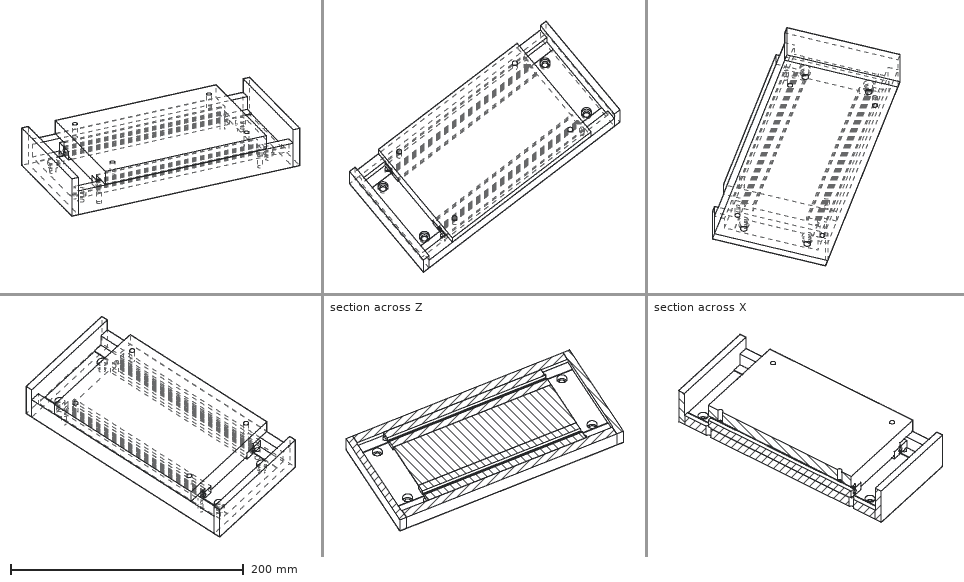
import cadquery as cq

total_width = 101.7
total_length = 216.0
total_height = 36.5

cap_thickness = 6.3

base_length = total_length - 2 * cap_thickness
wall_thickness = 8.9
wall_top = 23.3
shelf_top = 11.0
shelf_inner_edge = 17.5
floor_top = 10.4

rail_top = 19.2
rail_width = 8.5
rail_gap = 1.0
groove_depth = 1.7
rail_chamfer = 0.6
rail_height = rail_top - shelf_top

carriage_length = 152.5
slab_thickness = 12.7
slab_bottom = total_height - slab_thickness
boss_bottom = 14.7

half_width = total_width / 2
outer_rail_back = half_width - wall_thickness
outer_rail_face = outer_rail_back - rail_width
inner_rail_face = outer_rail_face - rail_gap
inner_rail_back = inner_rail_face - rail_width

carriage_hole_diameter = 4.3
carriage_hole_inset = 12.7
carriage_hole_x = half_width - carriage_hole_inset
carriage_hole_y = carriage_length / 2 - carriage_hole_inset

floor_hole_diameter = 5.6
counterbore_diameter = 8.6
counterbore_depth = 5.0
floor_hole_x = 28.5
floor_hole_inset = 19.0
floor_hole_y = total_length / 2 - floor_hole_inset
shelf_hole_diameter = carriage_hole_diameter
shelf_hole_x = carriage_hole_x
shelf_hole_y = carriage_length / 2


def block(width, length, bottom, top):
    """Box centred on the Z axis between two heights."""
    plane = cq.Workplane("XY", origin=(0, 0, bottom))
    return plane.box(width, length, top - bottom, centered=(True, True, False))


def round_holes(x, y, diameter, bottom, top):
    """Four upright cylinders at (+-x, +-y), to be cut away as holes."""
    centres = [(side * x, end * y) for side in (-1, 1) for end in (-1, 1)]
    plane = cq.Workplane("XY", origin=(0, 0, bottom))
    return plane.pushPoints(centres).circle(diameter / 2).extrude(top - bottom)


def make_base():
    base = block(total_width, base_length, 0, wall_top)
    rail_channel = block(2 * outer_rail_back, base_length, shelf_top, wall_top)
    floor_channel = block(2 * (half_width - shelf_inner_edge), base_length, floor_top, shelf_top)
    counterbore_bottom = floor_top - counterbore_depth
    floor_holes = round_holes(floor_hole_x, floor_hole_y, floor_hole_diameter, 0, floor_top)
    counterbores = round_holes(
        floor_hole_x, floor_hole_y, counterbore_diameter, counterbore_bottom, floor_top
    )
    shelf_holes = round_holes(shelf_hole_x, shelf_hole_y, shelf_hole_diameter, 0, shelf_top)
    for pocket in (rail_channel, floor_channel, floor_holes, counterbores, shelf_holes):
        base = base.cut(pocket)
    return base


def make_end_cap(end):
    """End cap on the -Y (end = -1) or +Y (end = 1) side."""
    cap_y = end * (total_length - cap_thickness) / 2
    return block(total_width, cap_thickness, 0, total_height).translate((0, cap_y, 0))


def make_carriage():
    slab = block(total_width, carriage_length, slab_bottom, total_height)
    boss_upper = block(2 * inner_rail_face, carriage_length, rail_top, slab_bottom)
    boss_lower = block(2 * inner_rail_back, carriage_length, boss_bottom, rail_top)
    holes = round_holes(
        carriage_hole_x, carriage_hole_y, carriage_hole_diameter, slab_bottom, total_height
    )
    return slab.union(boss_upper).union(boss_lower).cut(holes)


def make_rail(back_x, face_x):
    """Rail along Y with a 90 degree V groove in the side at face_x."""
    inward = 1 if back_x > face_x else -1
    groove_z = shelf_top + rail_height / 2
    outline = [
        (back_x, shelf_top),
        (face_x + inward * rail_chamfer, shelf_top),
        (face_x, shelf_top + rail_chamfer),
        (face_x, groove_z - groove_depth),
        (face_x + inward * groove_depth, groove_z),
        (face_x, groove_z + groove_depth),
        (face_x, rail_top - rail_chamfer),
        (face_x + inward * rail_chamfer, rail_top),
        (back_x, rail_top),
    ]
    return cq.Workplane("XZ").polyline(outline).close().extrude(carriage_length / 2, both=True)


base = make_base()
carriage = make_carriage()
end_caps = [make_end_cap(end) for end in (-1, 1)]
outer_rails = [make_rail(side * outer_rail_back, side * outer_rail_face) for side in (-1, 1)]
inner_rails = [make_rail(side * inner_rail_back, side * inner_rail_face) for side in (-1, 1)]

bodies = [base, carriage, *end_caps, *outer_rails, *inner_rails]
result = cq.Compound.makeCompound([body.val() for body in bodies])